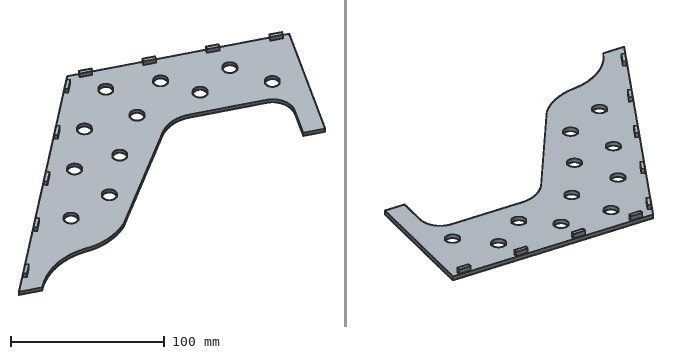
import cadquery as cq
import math

plate_width = 182.5
plate_length = 231.5
plate_thickness = 3.0
left_corner_y = 81.7
arm_reach = 90.0
arm_depth = 14.8
column_width = 54.6
arm_fillet = 15.0
elbow_y = 135.5
elbow_fillet = 25.0
tip_height = 15.7

shoulder = (140.0, 82.2)
convex_middle = (150.7, 69.0)
inflection = (155.8, 51.4)
concave_middle = (163.9, 31.0)

hole_diameter = 10.0
hole_centers = [
    (39.3, 209.5), (20.0, 186.0), (36.5, 161.5), (20.0, 139.3),
    (46.3, 116.5), (18.0, 103.0), (78.7, 96.0), (49.5, 80.0),
    (112.0, 80.0), (83.3, 64.3), (126.1, 50.5),
]

tab_length = 8.5
tab_width = 2.5
tab_height = 3.5
tab_inset = 1.9
tab_pitch = 42.8
left_tab_count = 4
left_tab_start = 9.3
lower_tab_count = 5
lower_tab_start = 10.6


def make_plate():
    arm_y = plate_length - arm_depth
    plate = (
        cq.Workplane("XY")
        .moveTo(0, left_corner_y)
        .lineTo(0, plate_length)
        .lineTo(arm_reach, plate_length)
        .lineTo(arm_reach, arm_y)
        .lineTo(column_width, arm_y)
        .lineTo(column_width, elbow_y)
        .lineTo(*shoulder)
        .threePointArc(convex_middle, inflection)
        .threePointArc(concave_middle, (plate_width, tip_height))
        .lineTo(plate_width, 0)
        .close()
        .extrude(plate_thickness)
    )
    mid_z = plate_thickness / 2
    for corner_y, radius in ((arm_y, arm_fillet), (elbow_y, elbow_fillet)):
        corner = cq.selectors.NearestToPointSelector((column_width, corner_y, mid_z))
        plate = plate.edges("|Z").edges(corner).fillet(radius)
    holes = (
        cq.Workplane("XY")
        .pushPoints(hole_centers)
        .circle(hole_diameter / 2)
        .extrude(plate_thickness)
    )
    return plate.cut(holes)


def make_tab_row(corner, angle, start, count):
    """Tabs along an edge leaving a corner at an angle, set in to its left."""
    edge = cq.Plane(
        origin=(*corner, 0),
        xDir=(math.cos(angle), math.sin(angle), 0),
        normal=(0, 0, 1),
    )
    centers = [(start + i * tab_pitch, tab_inset) for i in range(count)]
    return (
        cq.Workplane(edge)
        .pushPoints(centers)
        .rect(tab_length, tab_width)
        .extrude(plate_thickness + tab_height)
    )


slope_angle = math.atan2(-left_corner_y, plate_width)
left_tabs = make_tab_row((0, plate_length), -math.pi / 2, left_tab_start, left_tab_count)
lower_tabs = make_tab_row((0, left_corner_y), slope_angle, lower_tab_start, lower_tab_count)

result = make_plate().union(left_tabs).union(lower_tabs)